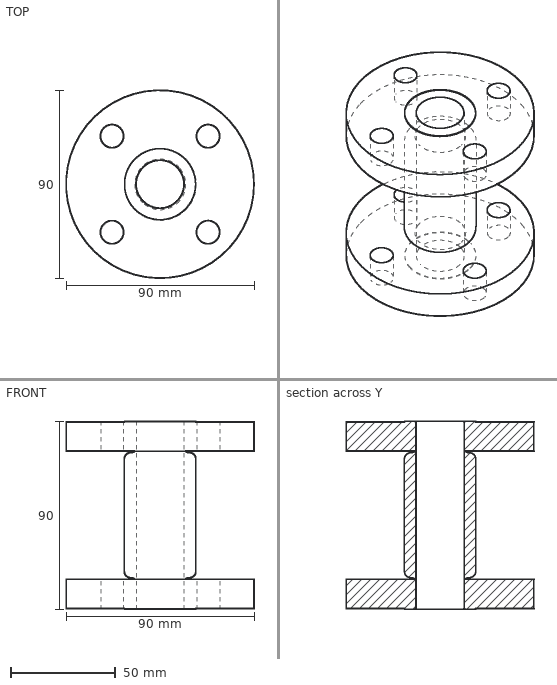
import cadquery as cq
import math

length = 90.0
flange_diameter = 90.0
flange_thickness = 14.0
raised_face_height = 0.4
raised_face_diameter = 34.0

tube_diameter = 34.4
tube_edge_radius = 3.15
neck_length = 0.6
neck_blend_radius = 3.15
bore_diameter = 22.9

bolt_hole_count = 4
bolt_circle_diameter = 65.0
bolt_hole_diameter = 11.0
first_bolt_angle = 45.0

flange_inner_height = length / 2 - raised_face_height - flange_thickness


def make_flange():
    """Upper flange with its raised face and bolt holes."""
    plate = (
        cq.Workplane("XY")
        .workplane(offset=flange_inner_height)
        .circle(flange_diameter / 2)
        .extrude(flange_thickness)
    )
    raised_face = (
        plate.faces(">Z").workplane()
        .circle(raised_face_diameter / 2)
        .extrude(raised_face_height)
    )
    return (
        raised_face.faces(">Z").workplane()
        .polarArray(bolt_circle_diameter / 2, first_bolt_angle, 360, bolt_hole_count)
        .circle(bolt_hole_diameter / 2)
        .cutThruAll()
    )


def make_tube():
    """Tube whose rounded shoulders flow into a concave neck under each flange."""
    tube_radius = tube_diameter / 2
    shoulder_height = flange_inner_height - neck_length
    shoulder_radius = tube_radius - tube_edge_radius
    straight_height = shoulder_height - tube_edge_radius
    neck_angle = math.acos(1 - neck_length / neck_blend_radius)
    neck_radius = shoulder_radius - neck_blend_radius * math.sin(neck_angle)
    return (
        cq.Workplane("XZ")
        .moveTo(0, -flange_inner_height)
        .lineTo(neck_radius, -flange_inner_height)
        .radiusArc((shoulder_radius, -shoulder_height), neck_blend_radius)
        .radiusArc((tube_radius, -straight_height), -tube_edge_radius)
        .lineTo(tube_radius, straight_height)
        .radiusArc((shoulder_radius, shoulder_height), -tube_edge_radius)
        .radiusArc((neck_radius, flange_inner_height), neck_blend_radius)
        .lineTo(0, flange_inner_height)
        .close()
        .revolve(360, (0, 0), (0, 1))
    )


upper_flange = make_flange()
lower_flange = upper_flange.mirror("XY")
bore = cq.Workplane("XY").circle(bore_diameter / 2).extrude(length / 2, both=True)

result = make_tube().union(upper_flange).union(lower_flange).cut(bore)